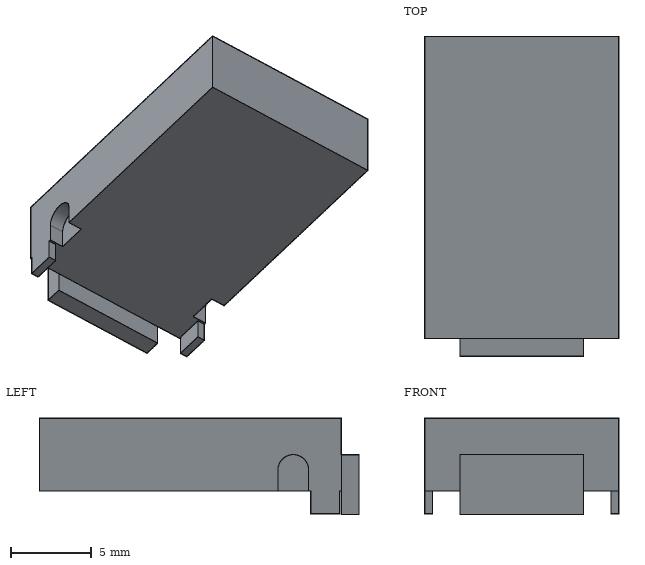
import cadquery as cq

body_width = 12.0
body_length = 18.65
body_height = 4.5

plate_width = 7.65
plate_thickness = 1.1
plate_height = 3.7
plate_drop = 1.45

leg_thickness = 0.5
leg_length = 1.8
leg_drop = 1.4
leg_setback = 0.1

notch_width = 1.9
notch_height = 2.25
notch_depth = 0.95
notch_center_y = 2.97

side_x = body_width / 2


def make_body():
    """Rectangular block centred on X."""
    return cq.Workplane("XY").box(body_width, body_length, body_height, centered=(True, False, False))


def make_plate():
    """Upright plate on the front face, reaching below the body."""
    plate = cq.Workplane("XY").box(plate_width, plate_thickness, plate_height, centered=(True, False, False))
    return plate.translate((0, -plate_thickness, -plate_drop))


def make_leg():
    """Leg under the -X side, flush with the side face."""
    leg = cq.Workplane("XY").box(leg_thickness, leg_length, leg_drop, centered=False)
    return leg.translate((-side_x, leg_setback, -leg_drop))


def make_notch():
    """Cutter for the -X side: straight flanks under a half-round top."""
    radius = notch_width / 2
    left = notch_center_y - radius
    right = notch_center_y + radius
    spring_height = notch_height - radius
    return (
        cq.Workplane("YZ", origin=(-side_x, 0, 0))
        .moveTo(left, 0)
        .lineTo(left, spring_height)
        .threePointArc((notch_center_y, notch_height), (right, spring_height))
        .lineTo(right, 0)
        .close()
        .extrude(notch_depth)
    )


def both_sides(shape):
    """The shape together with its mirror image on the +X side."""
    return shape.union(shape.mirror("YZ"))


body = make_body().cut(both_sides(make_notch()))
result = body.union(make_plate()).union(both_sides(make_leg()))